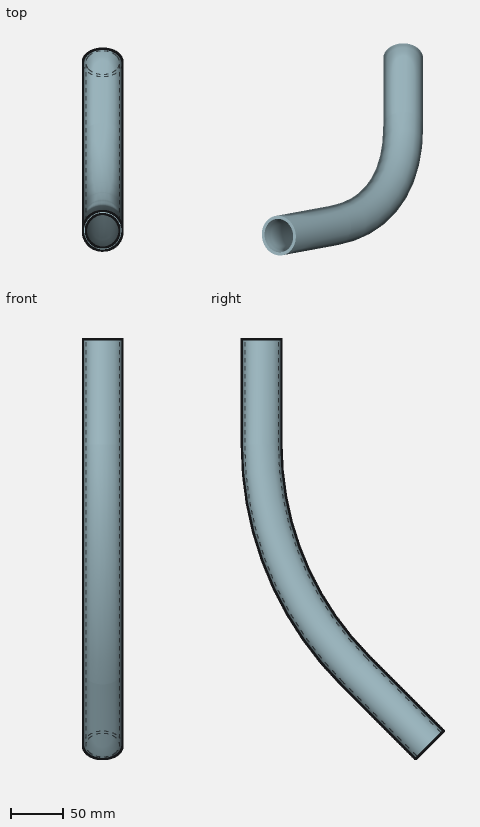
import cadquery as cq
import math

overall_height = 402.5
outer_diameter = 38.2
inner_diameter = 32.0
straight_length = 101.0
bend_angle = 45.0

outer_radius = outer_diameter / 2
bend_sin = math.sin(math.radians(bend_angle))
bend_cos = math.cos(math.radians(bend_angle))

rim_drop = outer_radius * bend_sin
bend_height = overall_height - rim_drop - straight_length * (1 + bend_cos)
bend_radius = bend_height / bend_sin


def point_on_bend(angle):
    """Centreline point (Y, Z) at an angle in degrees below the upper straight."""
    turn = math.radians(angle)
    return (
        bend_radius * (1 - math.cos(turn)),
        overall_height - straight_length - bend_radius * math.sin(turn),
    )


bend_end = point_on_bend(bend_angle)
lower_end = (
    bend_end[0] + straight_length * bend_sin,
    bend_end[1] - straight_length * bend_cos,
)
centreline = (
    cq.Workplane("YZ")
    .moveTo(0, overall_height)
    .lineTo(*point_on_bend(0))
    .threePointArc(point_on_bend(bend_angle / 2), bend_end)
    .lineTo(*lower_end)
)

result = (
    cq.Workplane("XY")
    .workplane(offset=overall_height)
    .circle(outer_radius)
    .circle(inner_diameter / 2)
    .sweep(centreline)
)